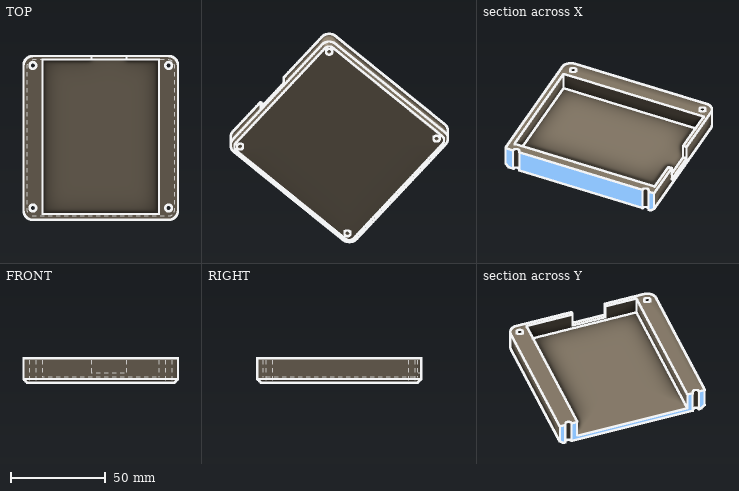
import cadquery as cq

width = 81.4
length = 86.35
height = 13.0
corner_radius = 5.0
base_chamfer = 2.0

side_wall = 9.9
front_wall = 3.0
back_wall = 2.0
cavity_depth = 10.0
cavity_width = width - 2 * side_wall
cavity_length = length - front_wall - back_wall

notch_width = 18.5
notch_depth = 7.95
notch_offset = 4.3

hole_diameter = 3.4
hole_spacing_x = width - 2 * corner_radius
hole_spacing_y = 75.0
back_hole_y = length / 2 - corner_radius
hole_center_y = back_hole_y - hole_spacing_y / 2


def make_body():
    """Rounded block with a chamfered bottom edge, standing on Z = 0."""
    block = cq.Workplane("XY").rect(width, length).extrude(height)
    return block.edges("|Z").fillet(corner_radius).faces("<Z").edges().chamfer(base_chamfer)


def make_cavity():
    """Rectangular pocket volume reaching down from the top face."""
    return (
        cq.Workplane("XY", origin=(0, (front_wall - back_wall) / 2, height))
        .rect(cavity_width, cavity_length)
        .extrude(-cavity_depth)
    )


def make_notch():
    """Volume of the cable opening, as deep in Y as the back wall is thick."""
    return (
        cq.Workplane("XY", origin=(notch_offset, (length - back_wall) / 2, height))
        .rect(notch_width, back_wall)
        .extrude(-notch_depth)
    )


def make_screw_holes():
    """Four cylinders through the full height."""
    return (
        cq.Workplane("XY", origin=(0, hole_center_y, 0))
        .rarray(hole_spacing_x, hole_spacing_y, 2, 2)
        .circle(hole_diameter / 2)
        .extrude(height)
    )


result = make_body().cut(make_cavity()).cut(make_notch()).cut(make_screw_holes())